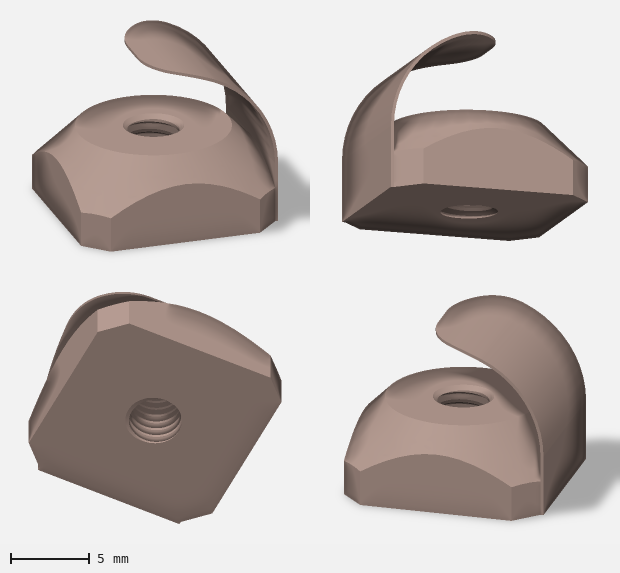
import cadquery as cq
import math

nut_width = 13.0
nut_height = 5.5
corner_cut = 1.5
top_face_diameter = 10.0
half_width = nut_width / 2

minor_diameter = 3.33
major_diameter = 4.11
pitch = 0.7
flank_half_angle = math.radians(30)
groove_mouth = 0.5
thread_start_angle = 90.0
thread_start_z = -groove_mouth / 2
thread_turns = 9
countersink_diameter = 3.9
countersink_depth = (countersink_diameter - minor_diameter) / 2
thread_height = nut_height - countersink_depth
core_diameter = 6.0
mouth_overlap = 0.02

leaf_width = 10.0
leaf_thickness = 0.2
leaf_height = 10.8
leaf_bend_radius = 6.8
leaf_tip_y = -1.4
leaf_tip_radius = 4.0


def make_nut_body():
    """Square block, corners cut at 45 degrees, trimmed by a 45 degree cone."""
    block = (
        cq.Workplane("XY")
        .rect(nut_width, nut_width)
        .extrude(nut_height)
        .edges("|Z")
        .chamfer(corner_cut)
    )
    top_radius = top_face_diameter / 2
    cone = (
        cq.Workplane("XZ")
        .moveTo(0, 0)
        .lineTo(top_radius + nut_height, 0)
        .lineTo(top_radius, nut_height)
        .lineTo(0, nut_height)
        .close()
        .revolve(360, (0, 0, 0), (0, 1, 0))
    )
    return block.intersect(cone)


def make_countersink():
    """45 degree conical mouth at the top of the bore."""
    return (
        cq.Workplane("XY", origin=(0, 0, thread_height))
        .circle(minor_diameter / 2)
        .workplane(offset=countersink_depth)
        .circle(countersink_diameter / 2)
        .loft()
    )


def make_thread_groove():
    """Right-hand helical groove running out past both ends of the bore."""
    inner_radius = minor_diameter / 2 - mouth_overlap
    outer_radius = major_diameter / 2
    slope = math.tan(flank_half_angle)
    inner_half = groove_mouth / 2 + mouth_overlap * slope
    outer_half = inner_half - (outer_radius - inner_radius) * slope
    corners = [
        (inner_radius, -inner_half),
        (outer_radius, -outer_half),
        (outer_radius, outer_half),
        (inner_radius, inner_half),
    ]
    groove_length = thread_turns * pitch
    helices = [
        cq.Wire.makeHelix(pitch, groove_length, radius).moved(cq.Location(cq.Vector(0, 0, thread_start_z + z)))
        for radius, z in corners
    ]
    faces = [cq.Face.makeRuledSurface(helices[i - 1], helices[i]) for i in range(len(helices))]
    start_points = [helix.startPoint() for helix in helices]
    end_points = [helix.endPoint() for helix in helices]
    for points in (start_points, end_points):
        faces.append(cq.Face.makeFromWires(cq.Wire.makePolygon(points, close=True)))
    groove = cq.Solid.makeSolid(cq.Shell.makeShell(faces))
    return cq.Workplane(obj=groove).rotate((0, 0, 0), (0, 0, 1), thread_start_angle)


def make_thread_core():
    """Solid cylinder that fills the nut below the countersink."""
    return cq.Workplane("XY").circle(core_diameter / 2).extrude(thread_height)


def make_threaded_sleeve():
    """Core with the groove cut first, then opened by the minor-diameter hole."""
    hole = (
        cq.Workplane("XY", origin=(0, 0, -pitch))
        .circle(minor_diameter / 2)
        .extrude(nut_height + 2 * pitch)
    )
    return make_thread_core().cut(make_thread_groove()).cut(hole)


def make_leaf():
    """Vertical strip, quarter bend and short flat end with a rounded tip."""
    outer_y = half_width + leaf_thickness
    bend_y = outer_y - leaf_bend_radius
    bend_z = leaf_height - leaf_bend_radius
    inner_bend_radius = leaf_bend_radius - leaf_thickness
    diagonal = math.sqrt(0.5)
    strip = (
        cq.Workplane("YZ")
        .moveTo(half_width, 0)
        .lineTo(outer_y, 0)
        .lineTo(outer_y, bend_z)
        .threePointArc(
            (bend_y + leaf_bend_radius * diagonal, bend_z + leaf_bend_radius * diagonal),
            (bend_y, leaf_height),
        )
        .lineTo(leaf_tip_y, leaf_height)
        .lineTo(leaf_tip_y, leaf_height - leaf_thickness)
        .lineTo(bend_y, leaf_height - leaf_thickness)
        .threePointArc(
            (bend_y + inner_bend_radius * diagonal, bend_z + inner_bend_radius * diagonal),
            (half_width, bend_z),
        )
        .close()
        .extrude(leaf_width / 2, both=True)
    )
    plan_length = outer_y - leaf_tip_y
    plan = (
        cq.Workplane("XY")
        .center(0, leaf_tip_y + plan_length / 2)
        .rect(leaf_width, plan_length)
        .extrude(leaf_height)
        .edges("|Z and <Y")
        .fillet(leaf_tip_radius)
    )
    return strip.intersect(plan)


nut = make_nut_body().cut(make_thread_core()).cut(make_countersink()).union(make_threaded_sleeve())
result = nut.union(make_leaf())